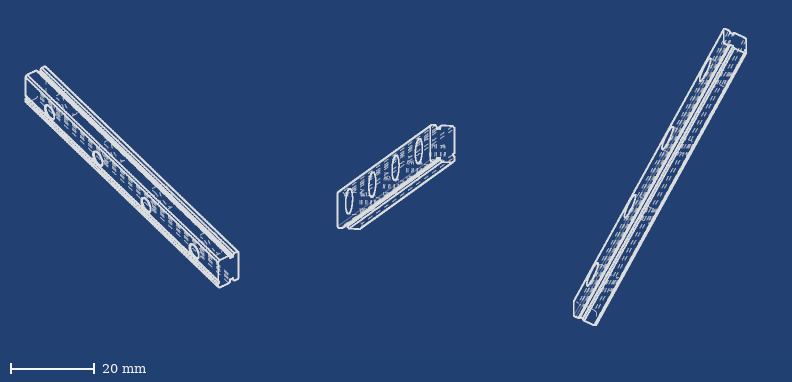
import cadquery as cq

LENGTH = 80.0
DEPTH = 6.0
HEIGHT = 9.0

FRONT_CHAMFER = 0.5
BACK_FILLET = 0.5

GROOVE_Y = 1.0
MOUTH_WIDTH = 1.6
MOUTH_DEPTH = 0.5
SLOT_WIDTH = 0.8
SLOT_DEPTH = 1.0

MARK_Z = -2.6
MARK_WIDTH = 0.9
MARK_DEPTH = 0.3

HOLE_DIAMETER = 3.5
HOLE_CHAMFER = 0.2
COUNTERBORE_DIAMETER = 6.0
COUNTERBORE_DEPTH = 3.5
HOLE_COUNT = 4
HOLE_PITCH = LENGTH / HOLE_COUNT

FRONT_Y = -DEPTH / 2
BACK_Y = DEPTH / 2


def along_rail(points):
    """Extrude a closed (y, z) outline over the full rail length."""
    return cq.Workplane("YZ").polyline(points).close().extrude(LENGTH / 2, both=True)


def bar():
    """Rectangular bar with its four long edges broken: chamfers in front, fillets behind."""
    block = cq.Workplane("XY").box(LENGTH, DEPTH, HEIGHT)
    block = block.faces("<Y").edges("|X").chamfer(FRONT_CHAMFER)
    return block.faces(">Y").edges("|X").fillet(BACK_FILLET)


def running_groove(side):
    """Groove in the top (side = 1) or bottom (side = -1) face."""
    face_z = side * HEIGHT / 2
    throat_z = face_z - side * MOUTH_DEPTH
    floor_z = face_z - side * SLOT_DEPTH
    return along_rail([
        (GROOVE_Y - MOUTH_WIDTH / 2, face_z),
        (GROOVE_Y - SLOT_WIDTH / 2, throat_z),
        (GROOVE_Y - SLOT_WIDTH / 2, floor_z),
        (GROOVE_Y + SLOT_WIDTH / 2, floor_z),
        (GROOVE_Y + SLOT_WIDTH / 2, throat_z),
        (GROOVE_Y + MOUTH_WIDTH / 2, face_z),
    ])


def front_groove():
    """Shallow rounded groove low on the front face."""
    return (
        cq.Workplane("YZ")
        .moveTo(FRONT_Y, MARK_Z - MARK_WIDTH / 2)
        .threePointArc((FRONT_Y + MARK_DEPTH, MARK_Z), (FRONT_Y, MARK_Z + MARK_WIDTH / 2))
        .close()
        .extrude(LENGTH / 2, both=True)
    )


def hole_row(face_y, diameter, depth, taper=0):
    """Row of round cutters running from the plane y = face_y; positive depth goes toward -Y."""
    return (
        cq.Workplane("XZ", origin=(0, face_y, 0))
        .rarray(HOLE_PITCH, 0.8, HOLE_COUNT, 1)
        .circle(diameter / 2)
        .extrude(depth, taper=taper)
    )


def mounting_holes():
    """Through holes, chamfered at the front and counterbored from the back."""
    drill = hole_row(BACK_Y, HOLE_DIAMETER, DEPTH)
    counterbore = hole_row(BACK_Y, COUNTERBORE_DIAMETER, COUNTERBORE_DEPTH)
    countersink = hole_row(FRONT_Y, HOLE_DIAMETER + 2 * HOLE_CHAMFER, -HOLE_CHAMFER, taper=45)
    return drill.union(counterbore).union(countersink)


result = bar()
for side in (-1, 1):
    result = result.cut(running_groove(side))
result = result.cut(front_groove()).cut(mounting_holes())